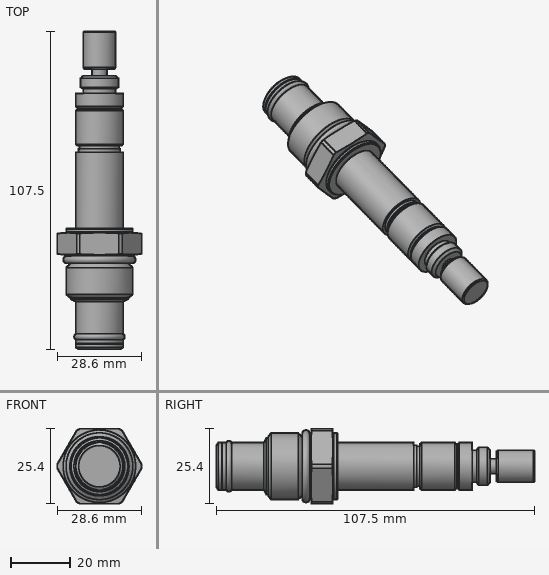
import cadquery as cq
import math


barrel_radius = 8.1
shoulder_radius = 11.3
collar_radius = 6.5
neck_radius = 5.5
stem_radius = 2.6

nose_tip_radius = 7.0
nose_tip_height = 0.8
score_start = 1.8
score_width = 0.2
score_depth = 0.2
nose_flange_start = 16.1
nose_flange_rim_y = 17.0
nose_flange_radius = 9.7
nose_back_radius = 9.5
nose_end = 17.5

nose_seal_y = 4.3
nose_seal_section = 1.0
nose_seal_outer = 8.6

shoulder_face_radius = 10.0
shoulder_start = 18.6
shoulder_end = 27.6
shoulder_lip_radius = 9.9

hex_seal_y = 30.3
hex_seal_section = 1.3
hex_seal_outer = 12.3

hex_start = 32.0
hex_end = 39.3
hex_flats = 25.4
hex_corner_radius = 14.3
hex_chamfer_radius = 12.7
hex_chamfer_height = 0.2
rim_end = 41.0
rim_chamfer = 0.3

barrel_end = 66.6
barrel_groove_step_y = 67.7
barrel_groove_step_radius = 7.1
barrel_groove_radius = 6.8
barrel_groove_end = 68.8

head_chamfer = 0.5
head_groove_start = 80.5
head_groove_end = 82.1
head_groove_depth = 0.6
head_end = 86.4

collar_start = 87.9
collar_end = 92.4
collar_front_height = 0.6

knob_radius = 5.5
knob_start = 94.6
knob_end = 107.5
knob_chamfer = 0.4
knob_front_height = 0.6


def revolve_profile(points):
    """Turn a closed (radius, Y) outline about the Y axis."""
    return cq.Workplane("XY").polyline(points).close().revolve(360, (0, 0, 0), (0, 1, 0))


def make_seal(center_y, section_radius, outer_radius):
    """Round-section ring around the Y axis."""
    ring_radius = outer_radius - section_radius
    return (
        cq.Workplane("XY")
        .center(ring_radius, center_y)
        .circle(section_radius)
        .revolve(360, (-ring_radius, 0, 0), (-ring_radius, 1, 0))
    )


def make_hexagon():
    """Hexagon with its corners turned round and both faces chamfered."""
    across_corners = hex_flats / math.cos(math.radians(30))
    prism = (
        cq.Workplane("XZ", origin=(0, hex_start, 0))
        .polygon(6, across_corners)
        .extrude(hex_start - hex_end)
    )
    envelope = revolve_profile([
        (0, hex_start),
        (hex_chamfer_radius, hex_start),
        (hex_corner_radius, hex_start + hex_chamfer_height),
        (hex_corner_radius, hex_end - hex_chamfer_height),
        (hex_chamfer_radius, hex_end),
        (0, hex_end),
    ])
    return prism.intersect(envelope)


def make_valve_body():
    """Shoulder, hexagon, barrel, head, collar and knob in one piece."""
    seal_floor = hex_seal_outer - 2 * hex_seal_section
    seal_groove_start = hex_seal_y - hex_seal_section
    shoulder_and_seal_groove = [
        (0, nose_end),
        (shoulder_face_radius, nose_end),
        (shoulder_radius, shoulder_start),
        (shoulder_radius, shoulder_end),
        (shoulder_lip_radius, seal_groove_start),
        (seal_floor, seal_groove_start),
        (seal_floor, hex_end),
    ]
    rim = [
        (shoulder_radius - rim_chamfer, hex_end),
        (shoulder_radius, hex_end + rim_chamfer),
        (shoulder_radius, rim_end - rim_chamfer),
        (shoulder_radius - rim_chamfer, rim_end),
    ]
    barrel = [
        (barrel_radius, rim_end),
        (barrel_radius, barrel_end),
        (barrel_groove_step_radius, barrel_end),
        (barrel_groove_step_radius, barrel_groove_step_y),
        (barrel_groove_radius, barrel_groove_step_y),
        (barrel_groove_radius, barrel_groove_end),
    ]
    head_groove_radius = barrel_radius - head_groove_depth
    head = [
        (barrel_radius - head_chamfer, barrel_groove_end),
        (barrel_radius, barrel_groove_end + head_chamfer),
        (barrel_radius, head_groove_start),
        (head_groove_radius, head_groove_start + head_groove_depth),
        (head_groove_radius, head_groove_end - head_groove_depth),
        (barrel_radius, head_groove_end),
        (barrel_radius, head_end),
    ]
    collar = [
        (neck_radius, head_end),
        (neck_radius, collar_start),
        (collar_radius, collar_start + collar_front_height),
        (collar_radius, collar_end - (collar_radius - neck_radius)),
        (neck_radius, collar_end),
    ]
    knob = [
        (stem_radius, collar_end),
        (stem_radius, knob_start),
        (knob_radius - knob_chamfer, knob_start),
        (knob_radius, knob_start + knob_front_height),
        (knob_radius, knob_end - knob_chamfer),
        (knob_radius - knob_chamfer, knob_end),
        (0, knob_end),
    ]
    turned = revolve_profile(shoulder_and_seal_groove + rim + barrel + head + collar + knob)
    return turned.union(make_hexagon())


def make_nose():
    """Sleeve in front of the shoulder, with the groove for the small seal."""
    seal_floor = nose_seal_outer - 2 * nose_seal_section
    seal_groove_start = nose_seal_y - nose_seal_section
    seal_groove_end = nose_seal_y + nose_seal_section
    score_floor = barrel_radius - score_depth
    return revolve_profile([
        (0, 0),
        (nose_tip_radius, 0),
        (barrel_radius, nose_tip_height),
        (barrel_radius, score_start),
        (score_floor, score_start),
        (score_floor, score_start + score_width),
        (barrel_radius, score_start + score_width),
        (barrel_radius, seal_groove_start),
        (seal_floor, seal_groove_start),
        (seal_floor, seal_groove_end),
        (barrel_radius, seal_groove_end),
        (barrel_radius, nose_flange_start),
        (nose_flange_radius, nose_flange_rim_y),
        (nose_back_radius, nose_end),
        (0, nose_end),
    ])


valve_body = make_valve_body()
nose = make_nose()
nose_seal = make_seal(nose_seal_y, nose_seal_section, nose_seal_outer)
hex_seal = make_seal(hex_seal_y, hex_seal_section, hex_seal_outer)

result = cq.Compound.makeCompound([
    valve_body.val(),
    nose.val(),
    nose_seal.val(),
    hex_seal.val(),
])